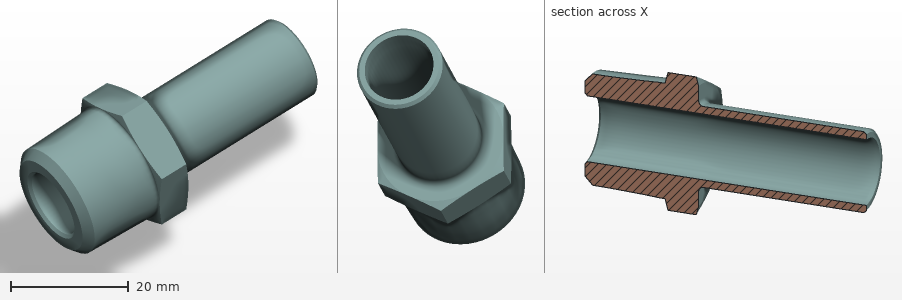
import cadquery as cq
import math

total_length = 52.0

thread_length = 14.85
collar_start = 14.0
collar_radius = 21.3 / 2
taper_on_radius = 1 / 32
thread_chamfer_length = 1.45
thread_face_radius = 8.75

thread_fillet_radius = 0.25

hex_across_flats = 22.0
hex_width = 6.2
hex_chamfer_angle = 15.0

tube_radius = 15.0 / 2
tube_fillet_radius = 0.8
tube_chamfer = 0.5

bore_radius = 12.0 / 2
bore_chamfer = 0.5

thread_tip_radius = collar_radius - (collar_start - thread_chamfer_length) * taper_on_radius
hex_across_corners = hex_across_flats / math.cos(math.radians(30))
hex_back = thread_length + hex_width


def revolve_about_y(profile):
    return profile.close().revolve(360, (0, 0, 0), (0, 1, 0))


def make_threaded_end():
    """Tapered cone with a chamfered tip, and a straight collar filleted into the hexagon."""
    fillet_start = thread_length - thread_fillet_radius
    bulge = thread_fillet_radius * math.sin(math.radians(45))
    fillet_outer = collar_radius + thread_fillet_radius
    profile = (
        cq.Workplane("XY")
        .lineTo(thread_face_radius, 0)
        .lineTo(thread_tip_radius, thread_chamfer_length)
        .lineTo(collar_radius, collar_start)
        .lineTo(collar_radius, fillet_start)
        .threePointArc((fillet_outer - bulge, fillet_start + bulge), (fillet_outer, thread_length))
        .lineTo(0, thread_length)
    )
    return revolve_about_y(profile)


def make_hexagon():
    """Hexagon with corners on the Z axis, both faces chamfered down to the flats."""
    prism = (
        cq.Workplane("XZ", origin=(0, thread_length, 0))
        .transformed(rotate=(0, 0, 90))
        .polygon(6, hex_across_corners)
        .extrude(-hex_width)
    )
    face_radius = hex_across_flats / 2
    corner_radius = hex_across_corners / 2
    chamfer_depth = (corner_radius - face_radius) * math.tan(math.radians(hex_chamfer_angle))
    envelope = (
        cq.Workplane("XY", origin=(0, thread_length, 0))
        .lineTo(face_radius, 0)
        .lineTo(corner_radius, chamfer_depth)
        .lineTo(corner_radius, hex_width - chamfer_depth)
        .lineTo(face_radius, hex_width)
        .lineTo(0, hex_width)
    )
    return prism.intersect(revolve_about_y(envelope))


def make_tube():
    """Plain tube with a fillet at the hexagon and a chamfered free end."""
    bulge = tube_fillet_radius * (1 - math.sin(math.radians(45)))
    profile = (
        cq.Workplane("XY")
        .moveTo(0, hex_back)
        .lineTo(tube_radius + tube_fillet_radius, hex_back)
        .threePointArc((tube_radius + bulge, hex_back + bulge), (tube_radius, hex_back + tube_fillet_radius))
        .lineTo(tube_radius, total_length - tube_chamfer)
        .lineTo(tube_radius - tube_chamfer, total_length)
        .lineTo(0, total_length)
    )
    return revolve_about_y(profile)


def make_bore():
    """Through bore with a chamfered mouth at the threaded end."""
    profile = (
        cq.Workplane("XY")
        .lineTo(bore_radius + bore_chamfer, 0)
        .lineTo(bore_radius, bore_chamfer)
        .lineTo(bore_radius, total_length)
        .lineTo(0, total_length)
    )
    return revolve_about_y(profile)


body = make_threaded_end().union(make_hexagon()).union(make_tube())
result = body.cut(make_bore())